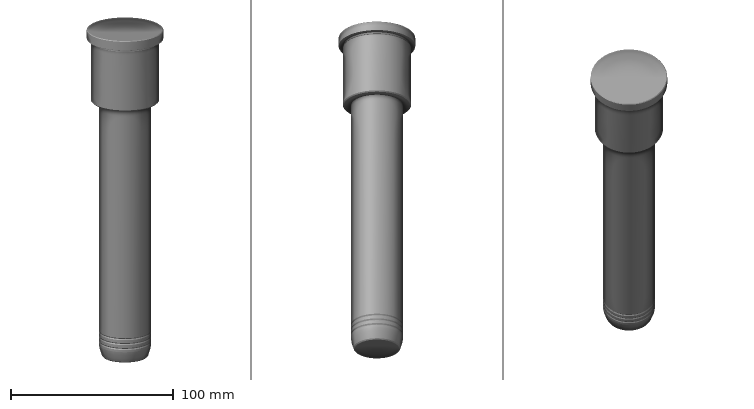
import cadquery as cq

total_length = 211.0
head_diameter = 47.0
head_height = 6.0
head_chamfer = 0.5
sleeve_diameter = 42.0
sleeve_bottom_depth = 46.2
sleeve_chamfer = 0.6
undercut_depth = 0.5
undercut_height = 1.0
pin_diameter = 32.0
groove_depth = 0.5
groove_width = 1.3
groove_pitch = 3.2
groove_count = 3
lowest_groove_height = 9.5
nose_height = 7.4
nose_end_diameter = 28.7
nose_bulge = 0.32
tip_chamfer = 0.6


def disc(diameter, bottom, top):
    """Solid cylinder on the Z axis between two heights."""
    return cq.Workplane("XY").workplane(offset=bottom).circle(diameter / 2).extrude(top - bottom)


def make_nose():
    """Curved lead-in that narrows from the pin to a chamfered tip."""
    pin_radius = pin_diameter / 2
    end_radius = nose_end_diameter / 2
    middle = ((pin_radius + end_radius) / 2 + nose_bulge, (nose_height + tip_chamfer) / 2)
    profile = (
        cq.Workplane("XZ")
        .lineTo(end_radius - tip_chamfer, 0)
        .lineTo(end_radius, tip_chamfer)
        .threePointArc(middle, (pin_radius, nose_height))
        .lineTo(0, nose_height)
        .close()
    )
    return profile.revolve(360, (0, 0, 0), (0, 1, 0))


def make_groove(center_height):
    """Ring that cuts one shallow V-shaped groove around the pin."""
    pin_radius = pin_diameter / 2
    profile = (
        cq.Workplane("XZ")
        .moveTo(pin_radius, center_height - groove_width / 2)
        .lineTo(pin_radius - groove_depth, center_height)
        .lineTo(pin_radius, center_height + groove_width / 2)
        .close()
    )
    return profile.revolve(360, (0, 0, 0), (0, 1, 0))


head_bottom = total_length - head_height
sleeve_top = head_bottom - undercut_height
sleeve_bottom = total_length - sleeve_bottom_depth

head = disc(head_diameter, head_bottom, total_length).faces(">Z").chamfer(head_chamfer)
undercut = disc(sleeve_diameter - 2 * undercut_depth, sleeve_top, head_bottom)
sleeve = disc(sleeve_diameter, sleeve_bottom, sleeve_top).edges().chamfer(sleeve_chamfer)
pin = disc(pin_diameter, nose_height, sleeve_bottom)

result = make_nose().union(pin).union(sleeve).union(undercut).union(head)

for index in range(groove_count):
    result = result.cut(make_groove(lowest_groove_height + index * groove_pitch))